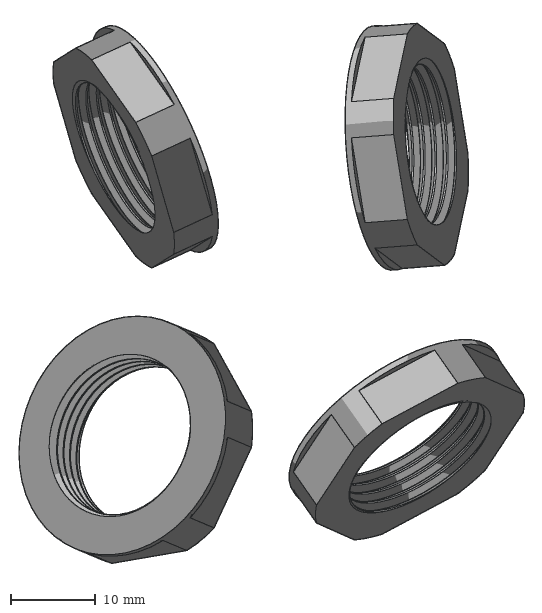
import cadquery as cq
import math

outer_diameter = 29.0
thickness = 6.0
flange_thickness = 0.75
across_flats = 27.03
flat_count = 6

bore_diameter = 19.15
thread_depth = 0.7
thread_pitch = 1.42
thread_angle = 80.0
root_width = 0.03
cutter_overlap = 0.03
end_turns = 2


def make_body():
    """Round flange at the back with a six-flat body in front of it."""
    body_length = thickness - flange_thickness
    hexagon_corners = across_flats / math.cos(math.pi / flat_count)
    body = cq.Workplane("XY").circle(outer_diameter / 2).extrude(body_length)
    hexagon = (
        cq.Workplane("XY")
        .polygon(flat_count, hexagon_corners)
        .extrude(body_length)
    )
    flange = (
        cq.Workplane("XY")
        .workplane(offset=body_length)
        .circle(outer_diameter / 2)
        .extrude(flange_thickness)
    )
    return body.intersect(hexagon).union(flange)


def make_thread_cutter():
    """Right-hand helical V groove with a narrow flat root."""
    bore_radius = bore_diameter / 2
    inner_radius = bore_radius - cutter_overlap
    root_radius = bore_radius + thread_depth
    flank_slope = math.tan(math.radians(thread_angle / 2))
    half_root = root_width / 2
    half_mouth = half_root + (root_radius - inner_radius) * flank_slope
    start = -end_turns * thread_pitch
    length = thickness + 2 * end_turns * thread_pitch
    corners = [
        (inner_radius, start - half_mouth),
        (root_radius, start - half_root),
        (root_radius, start + half_root),
        (inner_radius, start + half_mouth),
    ]
    helices = [
        cq.Wire.makeHelix(thread_pitch, length, radius, center=cq.Vector(0, 0, height))
        for radius, height in corners
    ]
    faces = [
        cq.Face.makeRuledSurface(helices[index - 1], helices[index])
        for index in range(len(helices))
    ]
    start_points = [helix.startPoint() for helix in helices]
    end_points = [helix.endPoint() for helix in helices]
    for points in (start_points, end_points):
        faces.append(cq.Face.makeFromWires(cq.Wire.makePolygon(points, close=True)))
    return cq.Workplane(cq.Solid.makeSolid(cq.Shell.makeShell(faces)))


bore = cq.Workplane("XY").circle(bore_diameter / 2).extrude(thickness)
thread = make_thread_cutter().rotate((0, 0, 0), (0, 0, 1), -90)
nut = make_body().cut(thread).cut(bore)

result = nut.solids().rotate((0, 0, 0), (1, 0, 0), -90)